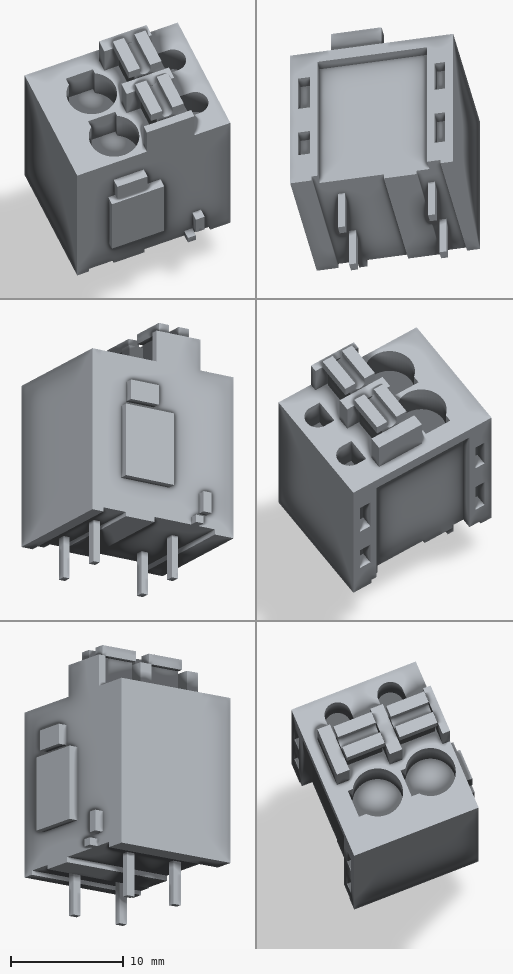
import cadquery as cq


HOUSING_X = 11.95
HOUSING_Y = 14.8
HOUSING_Z = 15.2
POLES = 2
PITCH = 5.07

MATING_DEPTH = 1.0
MATING_Y = (2.36, 12.33)
MATING_TOP = 14.0

POCKET_DEPTH = 1.14
REAR_POCKET_Y = (12.98, 14.1)
FRONT_POCKET_Y = (0.75, 1.7)
POCKETS = [
    (REAR_POCKET_Y, (8.73, 12.33)),
    (REAR_POCKET_Y, (3.23, 5.91)),
    (FRONT_POCKET_Y, (8.82, 11.95)),
    (FRONT_POCKET_Y, (2.52, 5.98)),
]

REAR_CHANNEL_Y = (6.5, 12.85)
REAR_CHANNEL_Z = 0.48
FRONT_CHANNEL_Y = (1.15, 3.52)
FRONT_CHANNEL_Z = 0.39

RIB_X = 0.85
RIBS = [
    ((3.52, 6.44), (10.8, 12.65)),
    ((3.0, 8.05), (3.52, 10.28)),
    ((11.12, 11.95), (1.61, 3.52)),
    ((10.35, 11.12), (REAR_CHANNEL_Z, 1.15)),
]

WIRE_HOLE_RADIUS = 2.25
WIRE_HOLE_X = 4.18
WIRE_HOLE_Y = 4.7
WIRE_HOLE_DEPTH = 3.0
KEYWAY_LEFT = 1.77
KEYWAY_Y = (3.23, 5.85)

TEST_HOLE_X = 3.64
TEST_HOLE_FRONT = 11.78
TEST_HOLE_BACK = 13.96
TEST_HOLE_RADIUS = 1.18
TEST_HOLE_DEPTH = WIRE_HOLE_DEPTH

WALL_LEFT = 1.1
WALL_X = 1.2
WALL_Y = (6.73, 11.32)
WALL_Z = 2.9

LEVER_LEFT = 2.36
LEVER_X = 3.64
LEVER_CENTRE_Y = 9.1
LEVER_HEAD_Y = 3.15
LEVER_HEAD_Z = 0.93
LEVER_STEM_Y = 2.0
LEVER_Z = 4.05
LEVER_SLOT_RADIUS = 0.5
LEVER_SLOT_DEPTH = 1.1

PIN_LEFT = 2.75
PIN_X = 0.82
PIN_Y = 0.64
PIN_BELOW_HOUSING = 3.5
FRONT_PIN_Y = 2.2
REAR_PIN_Y = 10.4


def box(x_range, y_range, z_range):
    """Block filling the given (low, high) ranges."""
    lows, highs = zip(x_range, y_range, z_range)
    sizes = [high - low for low, high in zip(lows, highs)]
    return cq.Workplane("XY").box(*sizes, centered=False).translate(lows)


def make_wire_hole(pole_x):
    """Cutter for one round wire hole with its keyway."""
    floor = HOUSING_Z - WIRE_HOLE_DEPTH
    centre_x = pole_x + WIRE_HOLE_X
    bore = (
        cq.Workplane("XY", origin=(centre_x, WIRE_HOLE_Y, floor))
        .circle(WIRE_HOLE_RADIUS)
        .extrude(WIRE_HOLE_DEPTH)
    )
    keyway = box((pole_x + KEYWAY_LEFT, centre_x), KEYWAY_Y, (floor, HOUSING_Z))
    return bore.union(keyway)


def make_test_hole(pole_x):
    """Cutter for one test hole, with a half-round back."""
    straight_y = TEST_HOLE_BACK - TEST_HOLE_RADIUS - TEST_HOLE_FRONT
    return (
        cq.Workplane("XY", origin=(pole_x + TEST_HOLE_X, TEST_HOLE_FRONT, HOUSING_Z - TEST_HOLE_DEPTH))
        .moveTo(-TEST_HOLE_RADIUS, 0)
        .lineTo(TEST_HOLE_RADIUS, 0)
        .lineTo(TEST_HOLE_RADIUS, straight_y)
        .threePointArc((0, straight_y + TEST_HOLE_RADIUS), (-TEST_HOLE_RADIUS, straight_y))
        .close()
        .extrude(TEST_HOLE_DEPTH)
    )


def make_housing():
    """Housing block with its holes, recesses, guide walls and mating ribs."""
    full_x = (0, HOUSING_X)
    housing = box(full_x, (0, HOUSING_Y), (0, HOUSING_Z))

    housing = housing.cut(box((0, MATING_DEPTH), MATING_Y, (0, MATING_TOP)))
    for y_range, z_range in POCKETS:
        housing = housing.cut(box((0, POCKET_DEPTH), y_range, z_range))
    housing = housing.cut(box(full_x, REAR_CHANNEL_Y, (0, REAR_CHANNEL_Z)))
    housing = housing.cut(box(full_x, FRONT_CHANNEL_Y, (0, FRONT_CHANNEL_Z)))

    for pole in range(POLES):
        housing = housing.cut(make_wire_hole(pole * PITCH))
        housing = housing.cut(make_test_hole(pole * PITCH))

    for wall in range(POLES + 1):
        left = WALL_LEFT + wall * PITCH
        right = min(left + WALL_X, HOUSING_X)
        housing = housing.union(box((left, right), WALL_Y, (HOUSING_Z, HOUSING_Z + WALL_Z)))

    for y_range, z_range in RIBS:
        housing = housing.union(box((HOUSING_X, HOUSING_X + RIB_X), y_range, z_range))
    return housing


def make_lever(pole_x):
    """T-section lever with a round-bottomed slot along its head."""
    left = pole_x + LEVER_LEFT
    x_range = (left, left + LEVER_X)
    top = HOUSING_Z + LEVER_Z

    def centred(width):
        return (LEVER_CENTRE_Y - width / 2, LEVER_CENTRE_Y + width / 2)

    stem = box(x_range, centred(LEVER_STEM_Y), (HOUSING_Z, top))
    head = box(x_range, centred(LEVER_HEAD_Y), (top - LEVER_HEAD_Z, top))
    slot_centre_z = top - LEVER_SLOT_DEPTH + LEVER_SLOT_RADIUS
    slot = box(x_range, centred(2 * LEVER_SLOT_RADIUS), (slot_centre_z, top))
    slot_floor = (
        cq.Workplane("YZ", origin=(left, LEVER_CENTRE_Y, slot_centre_z))
        .circle(LEVER_SLOT_RADIUS)
        .extrude(LEVER_X)
    )
    return stem.union(head).cut(slot).cut(slot_floor)


def make_pin(pole_x, front_y, top_z):
    """Rectangular solder pin hanging from the ceiling of its channel."""
    left = pole_x + PIN_LEFT
    return box((left, left + PIN_X), (front_y, front_y + PIN_Y), (-PIN_BELOW_HOUSING, top_z))


housing = make_housing()
levers = []
pins = []
for pole in range(POLES):
    pole_x = pole * PITCH
    levers.append(make_lever(pole_x))
    pins.append(make_pin(pole_x, FRONT_PIN_Y, FRONT_CHANNEL_Z))
    pins.append(make_pin(pole_x, REAR_PIN_Y, REAR_CHANNEL_Z))

result = cq.Compound.makeCompound([body.val() for body in [housing, *levers, *pins]])